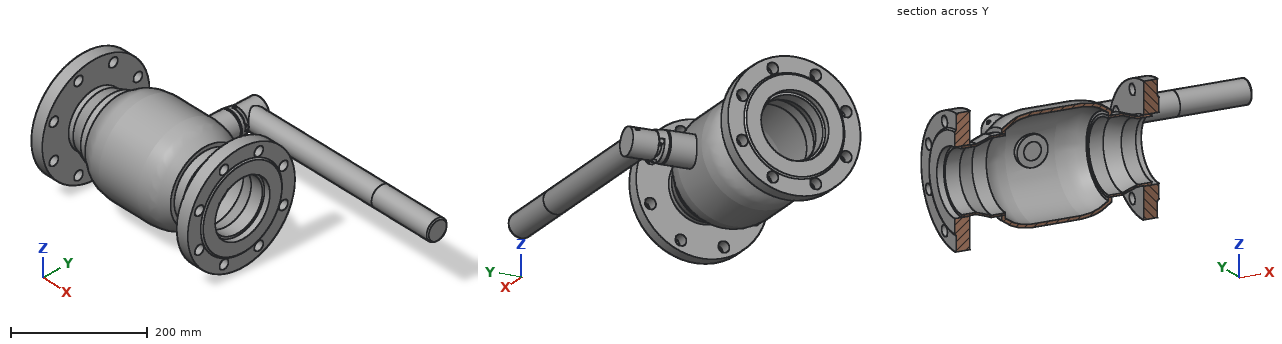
import cadquery as cq
import math


face_to_face = 340.0
flange_diameter = 215.0
flange_thickness = 26.0
raised_face_height = 2.5
raised_face_diameter = 157.0
raised_face_base_diameter = 163.0
bolt_count = 8
bolt_hole_diameter = 18.0
bolt_circle_diameter = 182.0
pipe_end_recess = 11.5

pipe_radius = 55.0
reducer_radius = 63.5
reducer_wall = 4.0
taper_outer_x = 134.0
taper_inner_x = 109.0

shell_radius = 90.0
shell_wall = 6.5
shell_length = 183.0
shell_straight_length = 82.0
shell_mouth_radius = 71.0

neck_diameter = 51.0
neck_top = 131.5
groove_radius = 22.5
ring_bottom = 134.0
ring_shoulder = 141.5
ring_top = 150.0
ring_top_radius = 23.5
rim_inner_radius = 20.0

stem_radius = 14.5
stem_bottom = 75.0
pin_length = 47.0

hub_radius = 22.5
hub_top = 192.0
stem_socket_depth = 17.0
screw_hole_diameter = 7.0
screw_hole_depth = 3.5
screw_hole_drop = 10.5
screw_hole_angle = 45.0
handle_diameter = 40.5
handle_end = 406.0
grip_length = 120.5
grip_chamfer = 2.5

face_x = face_to_face / 2
flange_back_x = face_x - flange_thickness
pipe_end_x = face_x - pipe_end_recess
shell_end_x = shell_length / 2
shell_straight_x = shell_straight_length / 2
neck_radius = neck_diameter / 2
pin_radius = (ring_top - ring_shoulder) / 2
pin_y = ring_shoulder + pin_radius
socket_end = ring_top + stem_socket_depth
handle_radius = handle_diameter / 2
handle_axis_y = ring_top + handle_radius
grip_start = handle_end - grip_length


def turned_about_x(outline):
    """Solid of revolution about X from a closed outline of (x, radius)."""
    return outline.close().revolve(360, (0, 0, 0), (1, 0, 0))


def cylinder_y(radius, bottom, top):
    """Cylinder about the Y axis between two heights."""
    return cq.Workplane("XZ", origin=(0, bottom, 0)).circle(radius).extrude(bottom - top)


def cylinder_x(radius, start, end, y=0.0):
    """Cylinder parallel to X at height y."""
    return cq.Workplane("YZ", origin=(start, y, 0)).circle(radius).extrude(end - start)


def mirrored(body, side):
    """The +X body itself, or its mirror image on the -X side."""
    return body if side > 0 else body.mirror("YZ")


def make_flange(side):
    front_x = face_x - raised_face_height
    outline = (
        cq.Workplane("XY")
        .moveTo(flange_back_x, pipe_radius)
        .lineTo(flange_back_x, flange_diameter / 2)
        .lineTo(front_x, flange_diameter / 2)
        .lineTo(front_x, raised_face_base_diameter / 2)
        .lineTo(face_x, raised_face_diameter / 2)
        .lineTo(face_x, pipe_radius)
    )
    bolt_holes = (
        cq.Workplane("YZ", origin=(flange_back_x, 0, 0))
        .polarArray(bolt_circle_diameter / 2, 180 / bolt_count, 360, bolt_count)
        .circle(bolt_hole_diameter / 2)
        .extrude(flange_thickness)
    )
    return mirrored(turned_about_x(outline).cut(bolt_holes), side)


def make_reducer(side):
    outline = (
        cq.Workplane("XY")
        .moveTo(shell_end_x - shell_wall, reducer_radius)
        .lineTo(taper_inner_x, reducer_radius)
        .lineTo(taper_outer_x, pipe_radius)
        .lineTo(pipe_end_x, pipe_radius)
        .lineTo(pipe_end_x, pipe_radius - reducer_wall)
        .lineTo(taper_outer_x, pipe_radius - reducer_wall)
        .lineTo(taper_inner_x, reducer_radius - reducer_wall)
        .lineTo(shell_end_x - shell_wall, reducer_radius - reducer_wall)
    )
    return mirrored(turned_about_x(outline), side)


def barrel(offset):
    """Barrel with arc-shaped ends, its surface moved inward by offset."""
    dx = shell_end_x - shell_straight_x
    drop = shell_radius - shell_mouth_radius
    arc_radius = (dx**2 + drop**2) / (2 * drop)
    centre_r = shell_radius - arc_radius
    radius = arc_radius - offset
    end_dx = dx - offset
    half_dx = end_dx / 2
    mid_r = centre_r + math.sqrt(radius**2 - half_dx**2)
    end_r = centre_r + math.sqrt(radius**2 - end_dx**2)
    top_r = shell_radius - offset
    end_x = shell_straight_x + end_dx
    mid_x = shell_straight_x + half_dx
    outline = (
        cq.Workplane("XY")
        .moveTo(-end_x, 0)
        .lineTo(-end_x, end_r)
        .threePointArc((-mid_x, mid_r), (-shell_straight_x, top_r))
        .lineTo(shell_straight_x, top_r)
        .threePointArc((mid_x, mid_r), (end_x, end_r))
        .lineTo(end_x, 0)
    )
    return turned_about_x(outline)


def make_shell():
    openings = cylinder_x(reducer_radius, -shell_end_x, shell_end_x)
    neck_hole = cylinder_y(neck_radius, 0, shell_radius)
    return barrel(0).cut(barrel(shell_wall)).cut(openings).cut(neck_hole)


def make_pin():
    return cylinder_x(pin_radius, -pin_length / 2, pin_length / 2, pin_y)


def make_stop_ring():
    """Tapered ring, hollow above its shoulder, with two cutouts for a quarter turn of the stop pin."""
    ring = (
        cq.Workplane("XY")
        .moveTo(0, ring_bottom)
        .lineTo(neck_radius, ring_bottom)
        .lineTo(ring_top_radius, ring_top)
        .lineTo(0, ring_top)
        .close()
        .revolve(360, (0, 0, 0), (0, 1, 0))
    )
    ring = ring.cut(cylinder_y(rim_inner_radius, ring_shoulder, ring_top))
    cutout = (
        cq.Workplane("XZ", origin=(0, ring_shoulder, 0))
        .moveTo(-pin_radius, -pin_radius)
        .lineTo(neck_radius, -pin_radius)
        .lineTo(neck_radius, neck_radius)
        .lineTo(-pin_radius, neck_radius)
        .close()
        .extrude(ring_shoulder - ring_top)
    )
    return ring.cut(cutout).cut(cutout.rotate((0, 0, 0), (0, 1, 0), 180))


def make_neck():
    tube = cylinder_y(neck_radius, stem_bottom, neck_top)
    groove_floor = cylinder_y(groove_radius, neck_top, ring_bottom)
    stem_bore = cylinder_y(stem_radius, stem_bottom, ring_top)
    return tube.union(groove_floor).union(make_stop_ring()).cut(stem_bore)


def make_stem():
    return cylinder_y(stem_radius, stem_bottom, socket_end).cut(make_pin())


def make_lever():
    """Hub with the handle tube welded to its side."""
    hub = cylinder_y(hub_radius, ring_top, hub_top)
    handle = cylinder_x(handle_radius, 0, grip_start, handle_axis_y)
    stem_socket = cylinder_y(stem_radius, ring_top, socket_end)
    screw_hole = (
        cylinder_x(screw_hole_diameter / 2, -hub_radius, screw_hole_depth - hub_radius)
        .rotate((0, 0, 0), (0, 1, 0), screw_hole_angle)
        .translate((0, hub_top - screw_hole_drop, 0))
    )
    return hub.union(handle).cut(stem_socket).cut(screw_hole)


def make_grip():
    grip = cylinder_x(handle_radius, grip_start, handle_end, handle_axis_y)
    return grip.faces(">X").chamfer(grip_chamfer)


flanges = [make_flange(side) for side in (-1, 1)]
reducers = [make_reducer(side) for side in (-1, 1)]
shell = make_shell()
neck = make_neck()
stem = make_stem()
stop_pin = make_pin()
lever = make_lever()
grip = make_grip()

result = cq.Compound.makeCompound(
    [
        *[flange.val() for flange in flanges],
        *[reducer.val() for reducer in reducers],
        shell.val(),
        neck.val(),
        stem.val(),
        stop_pin.val(),
        lever.val(),
        grip.val(),
    ]
)